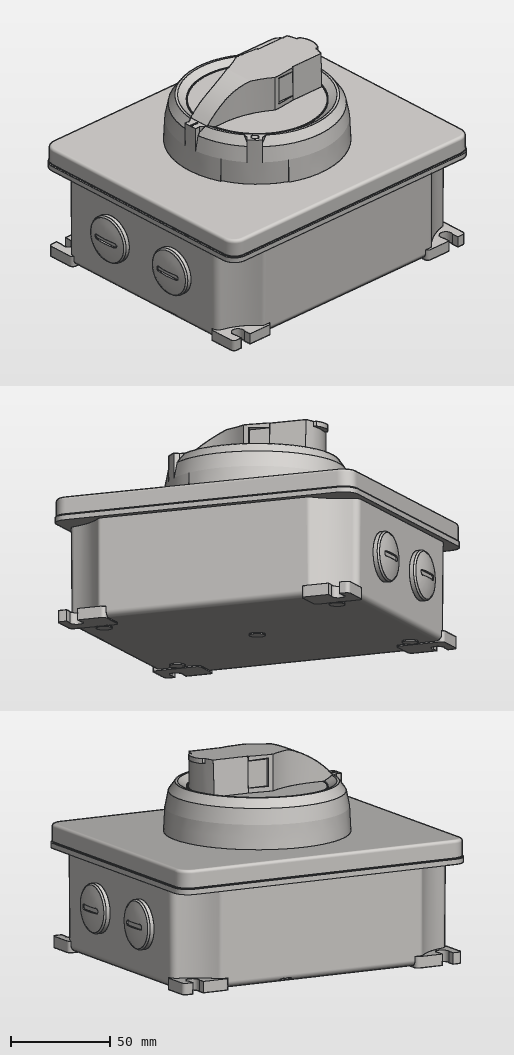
import cadquery as cq
import math

flange_x = 140.5
flange_y = 165.5
total_y = 168.5
total_z = 105.8

floor_z = 0.7
flange_bottom_z = 51.7
lid_bottom_z = 55.0
lid_top_z = 64.0
band_z = 76.5
shoulder_z = 84.7
dial_top_z = 89.5
plate_z = 87.0

body_x = 133.0
body_y = 159.0
body_draft = 0.6
floor_round = 3.2
cove_x = 53.9
cove_y = 57.8
cove_depth = 2.4
cove_end_round = 4.0
cove_side_round = 2.7
wall_zone = 0.8

flange_corner = 7.7
lid_setback = 0.5
lid_edge_round = 1.7
seam_height = 0.5
seam_depth = 1.0

foot_outer_x = 67.5
foot_outer_y = 80.2
foot_inner_x = 50.4
foot_inner_y = 53.9
foot_height = 5.9
foot_corner = 2.0
slot_y = 72.0
slot_width = 6.0
slot_eye_x = 62.0
slot_eye_diameter = 6.7
pad_radius = 4.0
pad_x = 45.5
pad_y = 64.0

plug_x = 22.5
plug_z = 28.1
plug_radius = 12.8
plug_chamfer_y = 81.5
plug_rim_y = 82.5
plug_dome_radius = 12.1
plug_root_depth = 3.4
plug_slot_length = 15.5
plug_slot_width = 2.7
plug_slot_depth = 1.3

scoop_length = 6.5
scoop_height = 1.0
scoop_depth = 2.5
scoop_z = 1.7
scoop_offset = 20.2

dial_radius = 47.2
band_radius = 46.5
shoulder_radius = 44.8
rim_radius = 41.5
rim_inner_radius = 40.1
plate_radius = 35.7
plate_groove_width = 0.5
plate_groove_depth = 0.5

block_root = 40.3
block_half = 3.9
block_root_half = 5.7
block_flare_start = 40.8
block_flare_end = 43.5
mark_width = 0.7
mark_length = 5.0
mark_depth = 0.5
lock_angle = 45
lock_hole_reach = 43.0
lock_hole_diameter = 4.0
lock_hole_depth = 1.7
lock_patch_half_angle = 21.4

handle_back_radius = 34.7
grip_top_half = 12.5
grip_foot_half = 13.1
grip_end_y = 12.5
waist_half = 14.3
waist_back_y = 1.5
waist_front_y = -1.2
slope_start_half = 8.6
slope_start_y = -12.8
nose_half = 6.0
nose_y = -31.5
nose_end_y = -40.5
slope_middle_y = -31.8
slope_middle_z = 97.0
tip_half = 6.9
tip_side_y = 35.5
tip_end_y = 37.7
tip_thickness = 2.5
finger_half = 12.8
finger_lip = 1.7


def block(x0, x1, y0, y1, z0, z1):
    """Box between two opposite corners."""
    return cq.Workplane("XY").box(x1 - x0, y1 - y0, z1 - z0, centered=False).translate((x0, y0, z0))


def in_four_corners(shape):
    """The shape from the +X +Y corner together with its three mirror images."""
    pair = shape.union(shape.mirror("YZ"))
    return pair.union(pair.mirror("XZ"))


def upright_edges(body):
    """Edges of the box that run from its floor to its top."""
    lowest = floor_z + floor_round
    highest = flange_bottom_z - floor_round
    return body.edges().filter(lambda edge: lowest < edge.Center().z < highest)


def make_body():
    """Drafted box, wider at the top, with a shallow cove along each vertical corner."""
    height = flange_bottom_z - floor_z
    body = (
        cq.Workplane("XY", origin=(0, 0, flange_bottom_z))
        .rect(body_x, body_y)
        .extrude(-height, taper=body_draft)
    )
    half_x = body_x / 2
    half_y = body_y / 2
    chord_x = half_x - cove_x
    chord_y = half_y - cove_y
    chord = math.hypot(chord_x, chord_y)
    middle = (
        (half_x + cove_x) / 2 - cove_depth * chord_y / chord,
        (half_y + cove_y) / 2 - cove_depth * chord_x / chord,
    )
    cutter = (
        cq.Workplane("XY")
        .moveTo(half_x, cove_y)
        .threePointArc(middle, (cove_x, half_y))
        .lineTo(cove_x, body_y)
        .lineTo(body_x, body_y)
        .lineTo(body_x, cove_y)
        .close()
        .extrude(flange_bottom_z)
    )
    body = body.cut(in_four_corners(cutter))
    end_edges = upright_edges(body).filter(lambda edge: abs(edge.Center().y) > half_y - wall_zone)
    body = end_edges.fillet(cove_end_round)
    side_edges = upright_edges(body).filter(lambda edge: abs(edge.Center().x) > half_x - wall_zone)
    body = side_edges.fillet(cove_side_round)
    return body.faces("<Z").edges("|X or |Y").fillet(floor_round)


def make_foot():
    """Corner foot with a keyhole slot that opens sideways."""
    foot = block(foot_inner_x, foot_outer_x, foot_inner_y, foot_outer_y, 0, foot_height)
    slot = block(slot_eye_x, foot_outer_x, slot_y - slot_width / 2, slot_y + slot_width / 2, 0, foot_height)
    eye = cq.Workplane("XY").center(slot_eye_x, slot_y).circle(slot_eye_diameter / 2).extrude(foot_height)
    foot = foot.edges("|Z").fillet(foot_corner)
    return foot.cut(slot).cut(eye)


def make_pads():
    """Low discs under the floor, one in the middle and one beside each foot."""
    places = [(0, 0)] + [(sx * pad_x, sy * pad_y) for sx in (-1, 1) for sy in (-1, 1)]
    return cq.Workplane("XY").pushPoints(places).circle(pad_radius).extrude(2 * floor_z)


def rounded_slab(inset, z0, z1):
    """Flange outline moved inward by inset, between two heights."""
    slab = block(
        inset - flange_x / 2, flange_x / 2 - inset,
        inset - flange_y / 2, flange_y / 2 - inset,
        z0, z1,
    )
    return slab.edges("|Z").fillet(flange_corner - inset)


def make_lid():
    """Flange, narrow seam and round-edged lid."""
    seam_bottom_z = lid_bottom_z - seam_height
    flange = rounded_slab(0, flange_bottom_z, seam_bottom_z)
    seam = rounded_slab(seam_depth, seam_bottom_z, lid_bottom_z)
    lid = rounded_slab(lid_setback, lid_bottom_z, lid_top_z).faces(">Z").edges().fillet(lid_edge_round)
    return flange.union(seam).union(lid)


def make_plugs():
    """Domed plugs with coin slots, two on each of the -Y and +Y walls."""
    inner_y = body_y / 2 - plug_root_depth
    dome_y = total_y / 2
    dome_height = dome_y - plug_rim_y
    dome_middle = (plug_dome_radius / 2, dome_y - dome_height / 4)
    plug = (
        cq.Workplane("XY")
        .moveTo(0, inner_y)
        .lineTo(plug_radius, inner_y)
        .lineTo(plug_radius, plug_chamfer_y)
        .lineTo(plug_dome_radius, plug_rim_y)
        .threePointArc(dome_middle, (0, dome_y))
        .close()
        .revolve(360, (0, 0), (0, 1))
    )
    coin_slot = (
        cq.Workplane("XZ", origin=(0, dome_y, 0))
        .slot2D(plug_slot_length, plug_slot_width)
        .extrude(plug_slot_depth)
    )
    plug = plug.cut(coin_slot).translate((plug_x, 0, plug_z))
    return in_four_corners(plug)


def make_scoops():
    """Cutters for the scoops below the -Y and -X walls."""
    front = (
        cq.Workplane("XZ", origin=(scoop_offset, scoop_depth - body_y / 2, scoop_z))
        .slot2D(scoop_length, scoop_height)
        .extrude(scoop_depth)
    )
    side = (
        cq.Workplane("YZ", origin=(-body_x / 2, scoop_offset, scoop_z))
        .slot2D(scoop_length, scoop_height)
        .extrude(scoop_depth)
    )
    return front.union(side)


def make_dial():
    """Turned dial body with a rim, a sunken plate and a thin groove around the plate."""
    groove_z = plate_z - plate_groove_depth
    groove_inner = plate_radius - plate_groove_width
    dial = (
        cq.Workplane("XZ")
        .polyline([
            (0, flange_bottom_z),
            (rim_radius, flange_bottom_z),
            (rim_radius, lid_top_z),
            (dial_radius, lid_top_z),
            (band_radius, band_z),
            (shoulder_radius, shoulder_z),
            (rim_radius, dial_top_z),
            (rim_inner_radius, dial_top_z),
            (plate_radius, plate_z),
            (plate_radius, groove_z),
            (groove_inner, groove_z),
            (groove_inner, plate_z),
            (0, plate_z),
        ])
        .close()
        .revolve(360, (0, 0), (0, 1))
    )
    half_chord = dial_radius * math.tan(math.radians(lock_patch_half_angle))
    patch = (
        cq.Workplane("XY", origin=(0, 0, lid_top_z))
        .polyline([(0, 0), (-half_chord, -dial_radius), (half_chord, -dial_radius)])
        .close()
        .extrude(band_z - lid_top_z)
    )
    core = cq.Workplane("XY", origin=(0, 0, lid_top_z)).circle(band_radius).extrude(band_z - lid_top_z)
    return dial.cut(patch.cut(core).rotate((0, 0, 0), (0, 0, 1), lock_angle))


def make_rim_block():
    """Upright block across the -Y side of the rim, flaring where it joins the rim."""
    height = dial_top_z - band_z
    blank = (
        cq.Workplane("XY", origin=(0, 0, band_z))
        .polyline([
            (-block_root_half, -block_root),
            (-block_root_half, -block_flare_start),
            (-block_half, -block_flare_end),
            (-block_half, -dial_radius),
            (block_half, -dial_radius),
            (block_half, -block_flare_end),
            (block_root_half, -block_flare_start),
            (block_root_half, -block_root),
        ])
        .close()
        .extrude(height)
    )
    envelope = cq.Workplane("XY", origin=(0, 0, band_z)).circle(band_radius).extrude(height)
    return blank.intersect(envelope)


def make_pointer_block():
    """Rim block in front of the handle nose, with an engraved pointer line."""
    mark = block(
        -mark_width / 2, mark_width / 2,
        -band_radius + mark_depth, -band_radius + mark_depth + mark_length,
        dial_top_z - mark_depth, dial_top_z,
    )
    return make_rim_block().cut(mark)


def make_lock_block():
    """Rim block turned toward +X, with a small round hole in its top."""
    hole = (
        cq.Workplane("XY", origin=(0, -lock_hole_reach, dial_top_z))
        .circle(lock_hole_diameter / 2)
        .extrude(-lock_hole_depth)
    )
    return make_rim_block().cut(hole).rotate((0, 0, 0), (0, 0, 1), lock_angle)


def make_handle():
    """Turning handle: drafted grip, wide waist and a nose that slopes down to the rim."""
    height = total_z - plate_z
    grip = (
        cq.Workplane("XZ", origin=(0, grip_end_y, plate_z))
        .polyline([
            (-grip_foot_half, 0),
            (grip_foot_half, 0),
            (grip_top_half, height),
            (-grip_top_half, height),
        ])
        .close()
        .extrude(-handle_back_radius)
    )
    plate_disc = cq.Workplane("XY", origin=(0, 0, plate_z)).circle(handle_back_radius).extrude(height)
    grip = grip.intersect(plate_disc)

    front = (
        cq.Workplane("XY", origin=(0, 0, plate_z))
        .moveTo(-grip_foot_half, grip_end_y)
        .lineTo(-waist_half, waist_back_y)
        .lineTo(-waist_half, waist_front_y)
        .threePointArc((-slope_start_half, slope_start_y), (-nose_half, nose_y))
        .lineTo(-nose_half, nose_end_y)
        .lineTo(nose_half, nose_end_y)
        .lineTo(nose_half, nose_y)
        .threePointArc((slope_start_half, slope_start_y), (waist_half, waist_front_y))
        .lineTo(waist_half, waist_back_y)
        .lineTo(grip_foot_half, grip_end_y)
        .close()
        .extrude(height)
    )
    above_slope = (
        cq.Workplane("YZ", origin=(-waist_half, 0, 0))
        .moveTo(slope_start_y, total_z)
        .threePointArc((slope_middle_y, slope_middle_z), (nose_end_y, dial_top_z))
        .lineTo(nose_end_y, total_z)
        .close()
        .extrude(2 * waist_half)
    )
    recess = (
        cq.Workplane("XZ", origin=(0, waist_back_y, 0))
        .polyline([
            (finger_half, dial_top_z),
            (finger_half, total_z - tip_thickness),
            (waist_half, total_z - finger_lip),
            (waist_half, dial_top_z),
        ])
        .close()
        .extrude(waist_back_y - grip_end_y)
    )
    front = front.cut(above_slope).cut(recess).cut(recess.mirror("YZ"))

    tip = (
        cq.Workplane("XY", origin=(0, 0, total_z - tip_thickness))
        .moveTo(-tip_half, grip_end_y)
        .lineTo(-tip_half, tip_side_y)
        .threePointArc((0, tip_end_y), (tip_half, tip_side_y))
        .lineTo(tip_half, grip_end_y)
        .close()
        .extrude(tip_thickness)
    )
    return grip.union(front).union(tip)


result = (
    make_body()
    .union(in_four_corners(make_foot()))
    .union(make_pads())
    .cut(make_scoops())
    .union(make_lid())
    .union(make_plugs())
    .union(make_dial())
    .union(make_pointer_block())
    .union(make_lock_block())
    .union(make_handle())
)